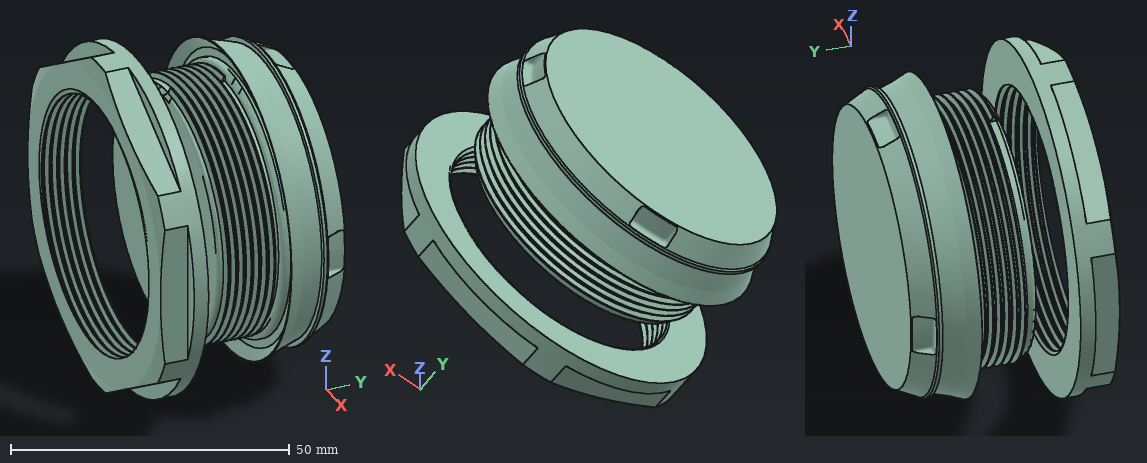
import cadquery as cq
import math


PITCH = 1.5005
ROOT_RADIUS = 48.15 / 2
CREST_RADIUS = 25.0
CREST_WIDTH = 0.2
FLANK_ANGLE = 30
ROOT_OVERLAP = 0.1

SHANK_END_Y = -11.9
SHANK_END_FILLET = 0.8
THREAD_START_Y = -10.6
SHANK_TURNS = 7
HEAD_OVERLAP = 0.65

HEAD_BACK_Y = 12.2
HEAD_BACK_RADIUS = 26.1
RIM_RADIUS = 57.0 / 2
RIM_TOP_Y = 7.6
RIM_BOTTOM_Y = 6.95
RIM_CHAMFER = 0.3
SKIRT_TOP_RADIUS = 27.45
SKIRT_KINK_RADIUS = 28.8
SKIRT_KINK_Y = 2.6
LIP_RADIUS = 29.95

LIP_WIDTH = 0.25
CAVITY_RADIUS = 27.6
CAVITY_DEPTH = 1.65
BEAD_RADIUS = 25.9
BEAD_FILLET = 1.0

POCKET_COUNT = 4
POCKET_WIDTH = 8.4
POCKET_BACK_Y = 12.35
POCKET_FRONT_Y = 8.0
POCKET_FLOOR_RADIUS = 26.15
POCKET_FILLET = 0.6

NUT_BACK_Y = -17.55
NUT_FLANGE_Y = -20.35
NUT_FRONT_Y = -25.7
NUT_RADIUS = 65.7 / 2
NUT_ACROSS_FLATS = 59.75
NUT_BEVEL_DROP = 0.85
NUT_BORE_RADIUS = 24.2
NUT_THREAD_RADIUS = 25.15


def revolve(profile):
    return profile.close().revolve(360, (0, 0, 0), (0, 1, 0))


def ring_solid(radius, y_low, y_high):
    """Solid cylinder on the Y axis between two Y levels."""
    return cq.Workplane("XZ", origin=(0, y_high, 0)).circle(radius).extrude(y_high - y_low)


def thread_ridge(base_radius, crest_radius, start_y, turns):
    """Right-hand helical ridge that starts above the axis (+Z) and advances along +Y."""
    flank = (crest_radius - base_radius) * math.tan(math.radians(FLANK_ANGLE))
    crest_half = CREST_WIDTH / 2
    base_half = crest_half + flank
    section = (
        cq.Workplane("XZ")
        .moveTo(base_radius, -base_half)
        .lineTo(crest_radius, -crest_half)
        .lineTo(crest_radius, crest_half)
        .lineTo(base_radius, base_half)
        .close()
    )
    helix = cq.Workplane(obj=cq.Wire.makeHelix(PITCH, turns * PITCH, base_radius))
    ridge = section.sweep(helix, isFrenet=True)
    upright = ridge.rotate((0, 0, 0), (0, 0, 1), -90).rotate((0, 0, 0), (1, 0, 0), -90)
    return upright.translate((0, start_y, 0))


def plug_head():
    return revolve(
        cq.Workplane("XY")
        .moveTo(0, HEAD_BACK_Y)
        .lineTo(HEAD_BACK_RADIUS, HEAD_BACK_Y)
        .lineTo(RIM_RADIUS - RIM_CHAMFER, RIM_TOP_Y + RIM_CHAMFER)
        .lineTo(RIM_RADIUS, RIM_TOP_Y)
        .lineTo(RIM_RADIUS, RIM_BOTTOM_Y)
        .lineTo(SKIRT_TOP_RADIUS, RIM_BOTTOM_Y)
        .lineTo(SKIRT_KINK_RADIUS, SKIRT_KINK_Y)
        .lineTo(LIP_RADIUS, 0)
        .lineTo(LIP_RADIUS - LIP_WIDTH, 0)
        .lineTo(CAVITY_RADIUS, CAVITY_DEPTH)
        .lineTo(BEAD_RADIUS, CAVITY_DEPTH)
        .lineTo(BEAD_RADIUS, BEAD_FILLET)
        .radiusArc((BEAD_RADIUS - BEAD_FILLET, 0), BEAD_FILLET)
        .lineTo(0, 0)
    )


def head_pocket():
    """Cutter for the +Z pocket: a block whose floor is round about the plug axis."""
    height = RIM_RADIUS + 0.65
    block = (
        cq.Workplane("XY")
        .box(POCKET_WIDTH, POCKET_BACK_Y - POCKET_FRONT_Y, height, centered=(True, False, False))
        .translate((0, POCKET_FRONT_Y, 0))
    )
    cutter = block.cut(ring_solid(POCKET_FLOOR_RADIUS, 0, HEAD_BACK_Y + 0.65))
    return cutter.edges("|Z").fillet(POCKET_FILLET).faces("<Z").edges().fillet(POCKET_FILLET * 0.99)


def threaded_shank():
    shank = ring_solid(ROOT_RADIUS, SHANK_END_Y, HEAD_OVERLAP).faces("<Y").edges().fillet(SHANK_END_FILLET)
    return shank.union(thread_ridge(ROOT_RADIUS - ROOT_OVERLAP, CREST_RADIUS, THREAD_START_Y, SHANK_TURNS))


def make_plug():
    head = plug_head()
    for i in range(POCKET_COUNT):
        head = head.cut(head_pocket().rotate((0, 0, 0), (0, 1, 0), i * 360 / POCKET_COUNT))
    return head.union(threaded_shank())


def nut_blank():
    """Round flange behind a hexagon whose corners are cut to the flange radius and bevelled in front."""
    flange = ring_solid(NUT_RADIUS, NUT_FLANGE_Y, NUT_BACK_Y)
    hexagon = (
        cq.Workplane("XZ", origin=(0, NUT_FLANGE_Y, 0))
        .polygon(6, NUT_ACROSS_FLATS, circumscribed=True)
        .extrude(NUT_FLANGE_Y - NUT_FRONT_Y)
    )
    bevelled = revolve(
        cq.Workplane("XY")
        .moveTo(0, NUT_FLANGE_Y)
        .lineTo(NUT_RADIUS, NUT_FLANGE_Y)
        .lineTo(NUT_RADIUS, NUT_FRONT_Y + NUT_BEVEL_DROP)
        .lineTo(NUT_ACROSS_FLATS / 2, NUT_FRONT_Y)
        .lineTo(0, NUT_FRONT_Y)
    )
    return flange.union(hexagon.intersect(bevelled))


def make_nut():
    bored = nut_blank().cut(ring_solid(NUT_BORE_RADIUS, NUT_FRONT_Y, NUT_BACK_Y))
    turns = math.ceil((NUT_BACK_Y - NUT_FRONT_Y) / PITCH) + 2
    groove = thread_ridge(NUT_BORE_RADIUS - ROOT_OVERLAP, NUT_THREAD_RADIUS, NUT_FRONT_Y - PITCH, turns)
    return bored.cut(groove)


plug = make_plug()
nut = make_nut()

result = cq.Compound.makeCompound([plug.val(), nut.val()])